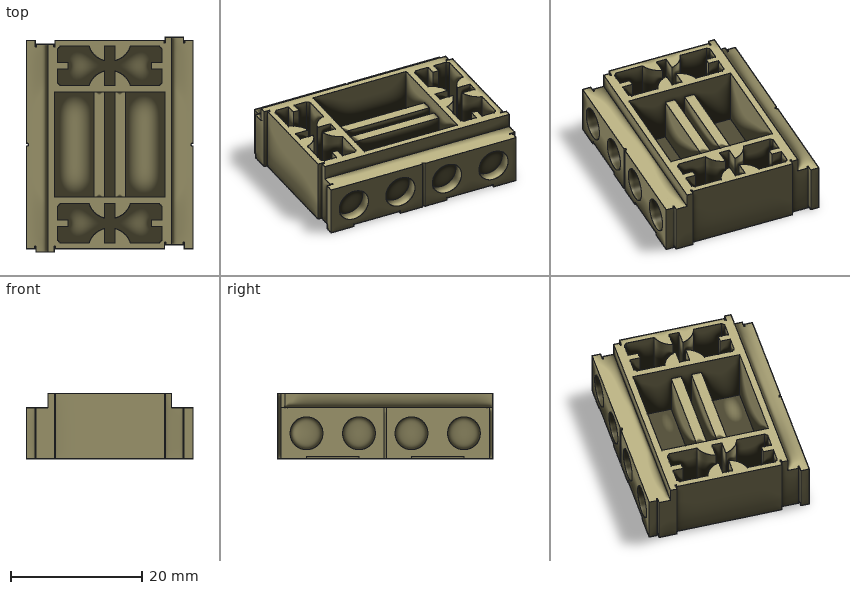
import cadquery as cq

PITCH = 8.0
LENGTH_X = 25.4
WIDTH_Y = 31.8
HEIGHT = 10.0
SHOULDER_Z = 7.8
CORE_X = 18.9
FLOOR = 1.0

TONGUE_INNER_X = 8.45
TONGUE_OUTER_X = 11.25
TONGUE_HEIGHT = 0.5
RECESS_CLEARANCE = 0.1
RECESS_DEPTH = 0.6
RECESS_INNER_X = TONGUE_INNER_X - RECESS_CLEARANCE
RECESS_OUTER_X = TONGUE_OUTER_X + RECESS_CLEARANCE
RELIEF_WIDTH = 0.17
RELIEF_DEPTH = 0.4

POCKET_X = 16.9
POCKET_Y = 2 * PITCH
RIB_WIDTH = 1.6
RIB_CENTRE_X = 1.6

END_POCKET_X = 15.9
END_POCKET_Y = 6.0
END_POCKET_CENTRE_Y = 1.5 * PITCH
END_POCKET_CHAMFER = 0.4
FIN_LENGTH = 1.6
FIN_THICKNESS = 1.0
BOSS_RADIUS = 3.3
BOSS_SLOT_WIDTH = 1.6

HOLE_COUNT = 4
HOLE_DIAMETER = 5.0
HOLE_DEPTH = 1.9
HOLE_Z = 3.9
NICK_WIDTH = 0.4
NICK_DEPTH = 0.3
FOOT_SLOT_LENGTH = PITCH
FOOT_SLOT_HEIGHT = 0.4
FOOT_SLOT_DEPTH = 0.5


def block(x_min, x_max, y_min, y_max, z_min, z_max):
    """Axis-aligned box between the given limits."""
    size = (x_max - x_min, y_max - y_min, z_max - z_min)
    return cq.Workplane("XY").box(*size, centered=False).translate((x_min, y_min, z_min))


def centred_block(x_size, y_size, centre_x, centre_y, z_min, z_max):
    """Upright box located by its centre in X and Y."""
    box = cq.Workplane("XY").box(x_size, y_size, z_max - z_min, centered=(True, True, False))
    return box.translate((centre_x, centre_y, z_min))


def half_turn(shape):
    """Copy of the shape turned 180 degrees about Z."""
    return shape.rotate((0, 0, 0), (0, 0, 1), 180)


def stepped_body():
    """Full-width lower slab with the narrower core rising above it."""
    base = centred_block(LENGTH_X, WIDTH_Y, 0, 0, 0, SHOULDER_Z)
    core = centred_block(CORE_X, WIDTH_Y, 0, 0, 0, HEIGHT)
    return base.union(core)


def tongue():
    """Tongue on the +X half of the +Y end, following the stepped profile."""
    end_y = WIDTH_Y / 2
    tip_y = end_y + TONGUE_HEIGHT
    root_y = end_y - RELIEF_DEPTH
    low = block(TONGUE_INNER_X, TONGUE_OUTER_X, root_y, tip_y, 0, SHOULDER_Z)
    high = block(TONGUE_INNER_X, CORE_X / 2, root_y, tip_y, 0, HEIGHT)
    return low.union(high)


def relief_groove(centre_x, depth):
    """Thin upright groove cut into the +Y end."""
    return centred_block(RELIEF_WIDTH, 2 * depth, centre_x, WIDTH_Y / 2, 0, HEIGHT)


def tongue_reliefs():
    """Grooves in the +Y end along the outside of both tongue flanks."""
    inner = relief_groove(TONGUE_INNER_X - RELIEF_WIDTH / 2, RELIEF_DEPTH)
    outer = relief_groove(TONGUE_OUTER_X + RELIEF_WIDTH / 2, RELIEF_DEPTH)
    return inner.union(outer)


def recess():
    """Recess on the -X half of the +Y end, with grooves in both corners of its floor."""
    end_y = WIDTH_Y / 2
    pocket = block(-RECESS_OUTER_X, -RECESS_INNER_X, end_y - RECESS_DEPTH, end_y, 0, HEIGHT)
    groove_depth = RECESS_DEPTH + RELIEF_DEPTH
    inner = relief_groove(-RECESS_INNER_X - RELIEF_WIDTH / 2, groove_depth)
    outer = relief_groove(-RECESS_OUTER_X + RELIEF_WIDTH / 2, groove_depth)
    return pocket.union(inner).union(outer)


def central_pocket():
    """Open pocket in the middle, leaving two lengthwise ribs up to the shoulder height."""
    pocket = centred_block(POCKET_X, POCKET_Y, 0, 0, FLOOR, HEIGHT)
    for side in (-1, 1):
        rib = centred_block(RIB_WIDTH, POCKET_Y, side * RIB_CENTRE_X, 0, FLOOR, SHOULDER_Z)
        pocket = pocket.cut(rib)
    return pocket


def end_pocket():
    """Pocket at the +Y end with two fins and two slotted round bosses left standing."""
    centre_y = END_POCKET_CENTRE_Y
    pocket = centred_block(END_POCKET_X, END_POCKET_Y, 0, centre_y, FLOOR, HEIGHT)
    pocket = pocket.edges("|Z").chamfer(END_POCKET_CHAMFER)
    for side in (-1, 1):
        fin_x = side * (END_POCKET_X - FIN_LENGTH) / 2
        fin = centred_block(FIN_LENGTH, FIN_THICKNESS, fin_x, centre_y, FLOOR, HEIGHT)
        boss = cq.Workplane("XY").circle(BOSS_RADIUS).extrude(HEIGHT)
        boss = boss.translate((0, centre_y + side * PITCH / 2, 0))
        pocket = pocket.cut(fin).cut(boss)
    slot = centred_block(BOSS_SLOT_WIDTH, END_POCKET_Y, 0, centre_y, FLOOR, HEIGHT)
    return pocket.union(slot)


def side_cuts():
    """Blind holes, centre nick and foot slots of the -X side."""
    face_x = -LENGTH_X / 2
    nick_radius = NICK_WIDTH / 2
    round_x = face_x + NICK_DEPTH - nick_radius
    nick_end = cq.Workplane("XY").center(round_x, 0).circle(nick_radius).extrude(HEIGHT)
    cuts = block(face_x, round_x, -nick_radius, nick_radius, 0, HEIGHT).union(nick_end)
    for index in range(HOLE_COUNT):
        hole_y = (index - (HOLE_COUNT - 1) / 2) * PITCH
        hole = cq.Workplane("YZ").center(hole_y, HOLE_Z).circle(HOLE_DIAMETER / 2)
        cuts = cuts.union(hole.extrude(HOLE_DEPTH).translate((face_x, 0, 0)))
    for side in (-1, 1):
        slot_y = side * PITCH
        slot_x = face_x + FOOT_SLOT_DEPTH / 2
        slot = centred_block(FOOT_SLOT_DEPTH, FOOT_SLOT_LENGTH, slot_x, slot_y, 0, FOOT_SLOT_HEIGHT)
        cuts = cuts.union(slot)
    return cuts


result = stepped_body().cut(central_pocket())

half_cuts = (
    recess(),
    tongue_reliefs(),
    end_pocket(),
    side_cuts(),
)
for cut in half_cuts:
    result = result.cut(cut).cut(half_turn(cut))
result = result.union(tongue()).union(half_turn(tongue()))